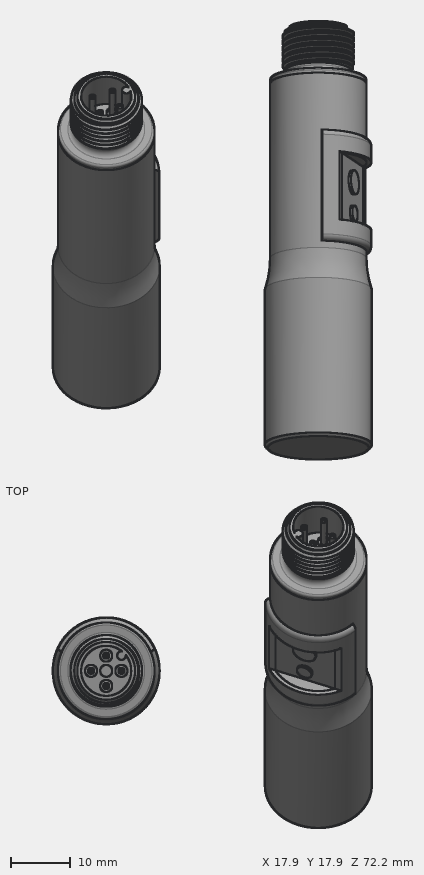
import cadquery as cq
import math

total_height = 72.2
base_radius = 8.95
base_chamfer = 0.5
flare_bottom_z = 27.15
flare_top_z = 32.5
grip_radius = 8.1
housing_top_z = 62.5

flange_top_z = 63.45
flange_fillet = 0.4
neck_radius = 5.4
neck_fillet = 1.0
lip_radius = 4.85
lip_bottom_z = 71.9
bore_radius = 4.2
key_radius = 0.7
key_offset = 3.6
key_angle = 45.0

barrel_seam_angle = 100.0

thread_radius = 6.0
thread_bottom_z = 64.9
thread_turns = 6
full_thread_top_z = 71.2
lowest_crest_z = 64.8
highest_crest_z = 70.8
pitch = (highest_crest_z - lowest_crest_z) / thread_turns
thread_root_width = 0.9 * pitch
thread_crest_width = 0.15 * pitch
thread_embed = 0.1

insert_top_z = 65.0
recess_radius = 1.0
recess_depth = 0.35
pin_count = 4
pin_radius = 0.5
pin_circle_radius = 2.5
pin_top_z = 71.05
pin_tip_chamfer = 0.3

saddle_radius = 8.9
saddle_bottom_z = 33.65
saddle_top_z = 52.8
saddle_outer_edge_y = 3.6
saddle_inner_edge_y = 3.2
saddle_end_fillet = 1.0

window_floor_y = 6.1
window_bottom_z = 37.3
window_top_z = 49.0

button_height = 0.4
button_sizes = [(4.05, 45.1), (2.7, 39.8)]


def cylinder(radius, bottom_z, top_z):
    """Upright cylinder on the main axis."""
    return cq.Workplane("XY").workplane(offset=bottom_z).circle(radius).extrude(top_z - bottom_z)


def make_window():
    """Block that clears everything beyond the window floor."""
    width = 2 * base_radius
    return cq.Workplane("XY").box(
        width, base_radius, window_top_z - window_bottom_z, centered=(True, False, False)
    ).translate((0, window_floor_y, window_bottom_z))


def make_housing():
    """Solid of revolution; the flare leaves the grip tangentially."""
    profile = (
        cq.Workplane("XZ")
        .lineTo(0, housing_top_z)
        .lineTo(grip_radius, housing_top_z)
        .lineTo(grip_radius, flare_top_z)
        .tangentArcPoint((base_radius, flare_bottom_z), relative=False)
        .lineTo(base_radius, base_chamfer)
        .lineTo(base_radius - base_chamfer, 0)
        .close()
    )
    return profile.revolve(360, (0, 0, 0), (0, 1, 0)).cut(make_window())


def runout_z(radius):
    """Height of the cone that trims the thread below the lip, at a given radius."""
    slope = (lip_bottom_z - full_thread_top_z) / (thread_radius - lip_radius)
    return lip_bottom_z - slope * (radius - lip_radius)


def make_thread():
    """Helical ridge, trimmed by cones where it runs out at both ends."""
    start_z = lowest_crest_z - pitch
    helix_height = highest_crest_z + 2 * pitch - start_z
    helix = cq.Wire.makeHelix(pitch, helix_height, neck_radius).translate(cq.Vector(0, 0, start_z))
    inner_x = neck_radius - thread_embed
    ridge = (
        cq.Workplane("XZ")
        .polyline([
            (inner_x, start_z - thread_root_width / 2),
            (thread_radius, start_z - thread_crest_width / 2),
            (thread_radius, start_z + thread_crest_width / 2),
            (inner_x, start_z + thread_root_width / 2),
        ])
        .close()
        .sweep(cq.Workplane(helix), isFrenet=True)
    )
    margin = thread_radius + 0.7
    envelope = (
        cq.Workplane("XZ")
        .moveTo(0, thread_bottom_z)
        .lineTo(neck_radius, thread_bottom_z)
        .lineTo(margin, thread_bottom_z + margin - neck_radius)
        .lineTo(margin, runout_z(margin))
        .lineTo(lip_radius, lip_bottom_z)
        .lineTo(0, lip_bottom_z)
        .close()
        .revolve(360, (0, 0, 0), (0, 1, 0))
    )
    return ridge.intersect(envelope)


def make_key():
    """Round polarising rib on the bore wall, from the insert to the mouth."""
    angle = math.radians(key_angle)
    key = cylinder(key_radius, insert_top_z, total_height).translate(
        (key_offset * math.cos(angle), key_offset * math.sin(angle), 0)
    )
    return key.intersect(cylinder(lip_radius, insert_top_z, total_height))


def make_connector():
    """Flange and threaded barrel, bored right through except for the key."""
    barrel = (
        cq.Workplane("XZ")
        .moveTo(0, housing_top_z)
        .lineTo(grip_radius, housing_top_z)
        .lineTo(grip_radius, flange_top_z - flange_fillet)
        .tangentArcPoint((grip_radius - flange_fillet, flange_top_z), relative=False)
        .lineTo(neck_radius + neck_fillet, flange_top_z)
        .tangentArcPoint((neck_radius, flange_top_z + neck_fillet), relative=False)
        .lineTo(neck_radius, lip_bottom_z - (neck_radius - lip_radius))
        .lineTo(lip_radius, lip_bottom_z)
        .lineTo(lip_radius, total_height)
        .lineTo(0, total_height)
        .close()
        .revolve(360, (0, 0, 0), (0, 1, 0))
        .rotate((0, 0, 0), (0, 0, 1), barrel_seam_angle)
    )
    bore = cylinder(bore_radius, housing_top_z, total_height)
    return barrel.union(make_thread()).cut(bore.cut(make_key()))


def make_insert():
    """Contact carrier with a recess round each pin and a blind one in the middle."""
    insert = cylinder(bore_radius, housing_top_z, insert_top_z)
    recesses = (
        cq.Workplane("XY")
        .workplane(offset=insert_top_z - recess_depth)
        .polarArray(pin_circle_radius, 0, 360, pin_count)
        .circle(recess_radius)
        .extrude(recess_depth)
    )
    centre_recess = cylinder(recess_radius, insert_top_z - recess_depth, insert_top_z)
    pin_holes = (
        cq.Workplane("XY")
        .workplane(offset=housing_top_z)
        .polarArray(pin_circle_radius, 0, 360, pin_count)
        .circle(pin_radius)
        .extrude(insert_top_z - housing_top_z)
    )
    return insert.cut(recesses).cut(centre_recess).cut(pin_holes)


def make_pin(index):
    """Contact pin with a bevelled tip, at its place on the pin circle."""
    angle = 2 * math.pi * index / pin_count
    pin = cylinder(pin_radius, housing_top_z, pin_top_z).faces(">Z").chamfer(pin_tip_chamfer)
    return pin.translate((pin_circle_radius * math.cos(angle), pin_circle_radius * math.sin(angle), 0))


def make_saddle():
    """Curved cover with rounded upper and lower ends and slanted side edges."""
    outer_edge_x = math.sqrt(saddle_radius**2 - saddle_outer_edge_y**2)
    inner_edge_x = math.sqrt(grip_radius**2 - saddle_inner_edge_y**2)
    shell = (
        cylinder(saddle_radius, saddle_bottom_z, saddle_top_z)
        .faces("<Z or >Z")
        .edges()
        .fillet(saddle_end_fillet)
        .cut(cylinder(grip_radius, saddle_bottom_z, saddle_top_z))
    )
    section = (
        cq.Workplane("XY")
        .workplane(offset=saddle_bottom_z)
        .moveTo(-inner_edge_x, saddle_inner_edge_y)
        .lineTo(-outer_edge_x, saddle_outer_edge_y)
        .threePointArc((0, saddle_radius), (outer_edge_x, saddle_outer_edge_y))
        .lineTo(inner_edge_x, saddle_inner_edge_y)
        .threePointArc((0, grip_radius), (-inner_edge_x, saddle_inner_edge_y))
        .close()
        .extrude(saddle_top_z - saddle_bottom_z)
    )
    return section.intersect(shell).cut(make_window())


def make_button(diameter, centre_z):
    """Round button rising from the window floor along +Y."""
    return cq.Workplane(
        cq.Plane(origin=(0, window_floor_y, centre_z), xDir=(1, 0, 0), normal=(0, 1, 0))
    ).circle(diameter / 2).extrude(button_height)


housing = make_housing()
connector = make_connector()
insert = make_insert()
pins = [make_pin(index) for index in range(pin_count)]
saddle = make_saddle()
buttons = [make_button(diameter, centre_z) for diameter, centre_z in button_sizes]

result = cq.Compound.makeCompound(
    [housing.val(), connector.val(), insert.val(), saddle.val()]
    + [pin.val() for pin in pins]
    + [button.val() for button in buttons]
)